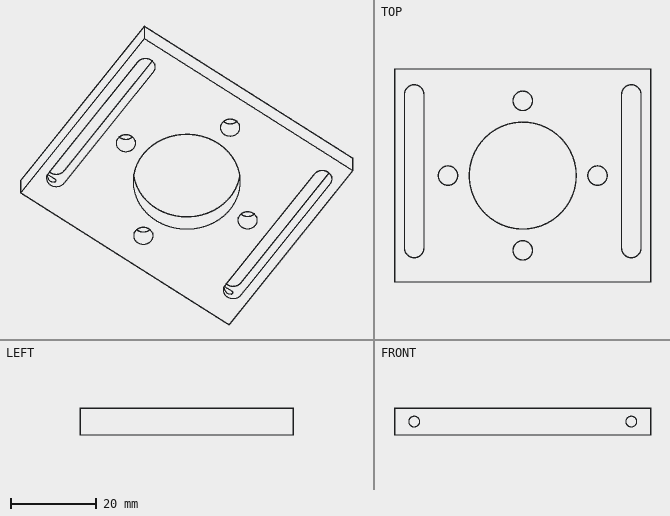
import cadquery as cq

length = 60
width = 50.0
thickness = 6.35

bore_diameter = 25.0
hole_diameter = 4.5
hole_circle_radius = 17.5
hole_count = 4

slot_x = 25.45
slot_width = 4.5
slot_front_margin = 5.75
slot_back_margin = 3.7
slot_length = width - slot_front_margin - slot_back_margin
slot_y = (slot_front_margin - slot_back_margin) / 2

screw_hole_diameter = 2.5
screw_hole_depth = slot_front_margin + slot_width / 2

plate = cq.Workplane("XY").box(length, width, thickness, centered=(True, True, False))

bore = cq.Workplane("XY").circle(bore_diameter / 2).extrude(thickness)

circle_holes = (
    cq.Workplane("XY")
    .polarArray(hole_circle_radius, 0, 360, hole_count)
    .circle(hole_diameter / 2)
    .extrude(thickness)
)

slots = (
    cq.Workplane("XY")
    .pushPoints([(-slot_x, slot_y), (slot_x, slot_y)])
    .slot2D(slot_length, slot_width, 90)
    .extrude(thickness)
)

screw_holes = (
    cq.Workplane("XZ", origin=(0, -width / 2, thickness / 2))
    .pushPoints([(-slot_x, 0), (slot_x, 0)])
    .circle(screw_hole_diameter / 2)
    .extrude(-screw_hole_depth)
)

result = plate.cut(bore).cut(circle_holes).cut(slots).cut(screw_holes)